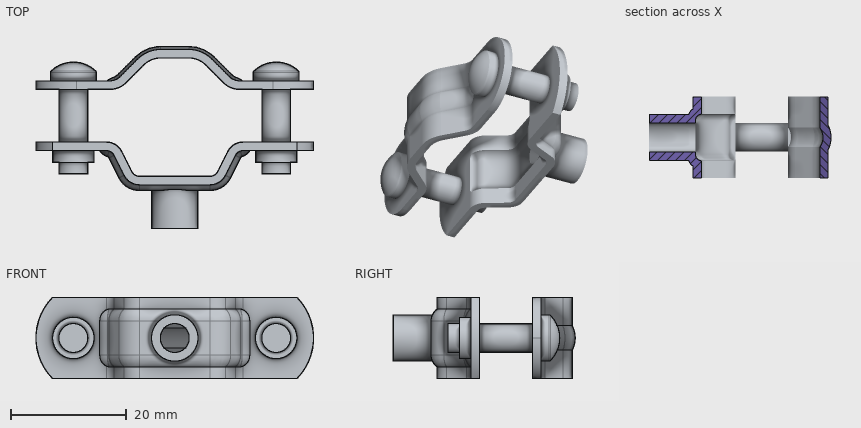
import cadquery as cq
import math

length = 48.0
width = 14.0
thickness = 1.5
gap = 9.05

front_flat_half = 6.1
front_drop = 5.9
front_slope = 63.4
front_crown_radius = 1.5
front_flange_radius = 3.0
front_end_radius = 10.0
front_bead_half = 3.0
front_bead_radius = 2.5
front_bead_end = 10.85

rear_flat_half = 2.45
rear_drop = 5.4
rear_slope = 45.0
rear_crown_radius = 4.1
rear_flange_radius = 4.0
rear_end_radius = width / 2
rear_bead_radius = 4.5
rear_bead_end = 9.85
rear_bead_depth = 2.5

socket_diameter = 8.0
socket_bore = 5.0
socket_end = 19.5

collar_diameter = 7.15
collar_height = 2.0
collar_foot_fillet = 0.1

bolt_x = 17.5
shank_diameter = 5.0
tip_length = 2.0
head_diameter = 7.95
head_rim = 1.6
head_height = 3.25
head_fillet = 0.4

bolt_places = (-bolt_x, bolt_x)
flange_inner = gap / 2
flange_outer = flange_inner + thickness


def bend_curves(shape, offset):
    """Both bends of the +X leg of a strap, on a face lying the given offset outside the inner face.

    Returns two functions that give the (x, height) at a turn from 0, where the bend meets the
    crown or the flange, up to the leg slope, where it meets the leg; and that slope in radians.
    Heights are measured from the inner face of the flanges.
    """
    flat_half, drop, slope_degrees, crown_radius, flange_radius = shape
    slope = math.radians(slope_degrees)
    leg_drop = drop - (crown_radius + flange_radius) * (1 - math.cos(slope))
    leg_run = leg_drop / math.tan(slope)
    flange_x = flat_half + (crown_radius + flange_radius) * math.sin(slope) + leg_run

    def crown_bend(turn):
        radius = crown_radius + offset
        return (flat_half + radius * math.sin(turn), drop - crown_radius + radius * math.cos(turn))

    def flange_bend(turn):
        radius = flange_radius - offset
        return (flange_x - radius * math.sin(turn), flange_radius - radius * math.cos(turn))

    return crown_bend, flange_bend, slope


def draw_leg(shape, offset, last_turn=0.0):
    """Draw the +X half of the bent line, from the crown centre to the given turn of the flange bend."""
    crown_bend, flange_bend, slope = bend_curves(shape, offset)
    return (
        cq.Workplane("XY")
        .moveTo(0, crown_bend(0)[1])
        .lineTo(*crown_bend(0))
        .threePointArc(crown_bend(slope / 2), crown_bend(slope))
        .lineTo(*flange_bend(slope))
        .threePointArc(flange_bend((slope + last_turn) / 2), flange_bend(last_turn))
    )


def with_mirror(half):
    """Join a +X half to its mirror image."""
    return half.union(half.mirror("YZ"))


def block_below(shape, offset):
    """Block between the middle plane of the clamp and the offset face of a strap."""
    half = (
        draw_leg(shape, offset)
        .lineTo(length / 2, offset)
        .lineTo(length / 2, -flange_inner)
        .lineTo(0, -flange_inner)
        .close()
        .extrude(width / 2, both=True)
    )
    return with_mirror(half)


def bead_run(shape, half_width, radius, depth, last_turn):
    """Ridge that follows the inner face of a strap between two equal turns of its flange bends.

    Its section has a flat top of the given half width between two arcs, whose centres lie the
    given depth below the inner face.
    """
    rise = radius - depth
    base_half = half_width + math.sqrt(radius**2 - depth**2)
    middle_turn = math.acos(depth / radius) / 2
    shoulder_rise = radius * math.cos(middle_turn) - depth
    shoulder_half = half_width + radius * math.sin(middle_turn)

    crown_height = shape[1]
    section = (
        cq.Workplane("YZ", origin=(0, crown_height, 0))
        .moveTo(0, -base_half)
        .threePointArc((shoulder_rise, -shoulder_half), (rise, -half_width))
    )
    if half_width > 0:
        section = section.lineTo(rise, half_width)
    section = section.threePointArc((shoulder_rise, shoulder_half), (0, base_half)).close()
    return with_mirror(section.sweep(draw_leg(shape, 0, last_turn)))


def bead_end_pieces(shape, half_width, radius, depth, last_turn):
    """Pieces of the rounded +X end of a ridge: a quarter turn at each side and a slab between them."""
    _, flange_bend, _ = bend_curves(shape, 0)
    along = (math.cos(last_turn), -math.sin(last_turn), 0)
    middle_turn = math.acos(depth / radius) / 2

    def rim_profile(z):
        plane = cq.Plane(origin=(*flange_bend(last_turn), z), xDir=along, normal=(0, 0, 1))
        return (
            cq.Workplane(plane)
            .lineTo(math.sqrt(radius**2 - depth**2), 0)
            .threePointArc(
                (radius * math.sin(middle_turn), radius * math.cos(middle_turn) - depth),
                (0, radius - depth),
            )
            .close()
        )

    pieces = [rim_profile(z * half_width).revolve(90, (0, 0, 0), (0, -z, 0)) for z in (-1, 1)]
    if half_width > 0:
        pieces.append(rim_profile(-half_width).extrude(2 * half_width))
    return pieces


def rounded_bead(shape, half_width, radius, depth, last_turn):
    """Ridge with rounded ends."""
    bead = bead_run(shape, half_width, radius, depth, last_turn)
    for piece in bead_end_pieces(shape, half_width, radius, depth, last_turn):
        for copy in (piece, piece.mirror("YZ")):
            bead = bead.union(copy, clean=False)
    return bead


def flange_turn(shape, x):
    """Turn of the flange bend at which its inner face reaches the given X."""
    _, flange_bend, _ = bend_curves(shape, 0)
    flange_radius = shape[4]
    return math.asin((flange_bend(0)[0] - x) / flange_radius)


def strap_blank(end_radius):
    """Flat outline of a strap, extruded through the height of the bends."""
    side_half = length / 2 - end_radius + math.sqrt(end_radius**2 - (width / 2) ** 2)
    return (
        cq.Workplane("XZ")
        .moveTo(-side_half, -width / 2)
        .lineTo(side_half, -width / 2)
        .threePointArc((length / 2, 0), (side_half, width / 2))
        .lineTo(-side_half, width / 2)
        .threePointArc((-length / 2, 0), (-side_half, -width / 2))
        .close()
        .extrude(length / 2, both=True)
    )


def make_strap(shape, bead, groove, end_radius):
    """Bent strap with a pressed bead, its flanges on the +Y side of the middle plane."""
    strap = block_below(shape, thickness).union(bead, clean=False)
    strap = strap.cut(block_below(shape, 0), clean=False).cut(groove, clean=False)
    return strap.intersect(strap_blank(end_radius), clean=False).translate((0, flange_inner, 0))


def drill_bolt_holes(strap):
    """Cut the two bolt holes through a strap and anything standing on its flanges."""
    holes = (
        cq.Workplane("XZ")
        .pushPoints([(x, 0) for x in bolt_places])
        .circle(shank_diameter / 2)
        .extrude(length / 2, both=True)
    )
    return strap.cut(holes, clean=False)


def make_front_strap():
    """Front strap, with a wide bead, a tubular socket on its crown and a collar at each bolt."""
    shape = (front_flat_half, front_drop, front_slope, front_crown_radius, front_flange_radius)
    end_turn = flange_turn(shape, front_bead_end)
    bead = rounded_bead(shape, front_bead_half, front_bead_radius, 0, end_turn)
    groove = rounded_bead(shape, front_bead_half, front_bead_radius - thickness, 0, end_turn)
    strap = make_strap(shape, bead, groove, front_end_radius).mirror("XZ")

    crown = flange_outer + front_drop
    socket = (
        cq.Workplane("XZ", origin=(0, -crown, 0)).circle(socket_diameter / 2).extrude(socket_end - crown)
    )
    bore = cq.Workplane("XZ").circle(socket_bore / 2).extrude(socket_end)
    strap = strap.union(socket, clean=False).cut(bore, clean=False)

    for x in bolt_places:
        collar = (
            cq.Workplane("XZ", origin=(x, -flange_outer, 0))
            .circle(collar_diameter / 2)
            .extrude(collar_height)
        )
        foot = cq.selectors.NearestToPointSelector((x, -flange_outer, 0))
        strap = strap.union(collar, clean=False).edges(foot).fillet(collar_foot_fillet)
    return drill_bolt_holes(strap)


def make_rear_strap():
    """Rear strap, with a narrow arched bead whose groove stops square where the flanges begin."""
    shape = (rear_flat_half, rear_drop, rear_slope, rear_crown_radius, rear_flange_radius)
    end_turn = flange_turn(shape, rear_bead_end)
    bead = rounded_bead(shape, 0, rear_bead_radius, rear_bead_depth, end_turn)
    groove = bead_run(shape, 0, rear_bead_radius - thickness, rear_bead_depth, 0)
    return drill_bolt_holes(make_strap(shape, bead, groove, rear_end_radius))


def make_bolt(x):
    """Round-headed bolt along Y: its head rests on the rear strap and its tip passes the collar."""
    tip = -flange_outer - collar_height - tip_length
    rim_top = flange_outer + head_rim
    half = (
        cq.Workplane("XY")
        .moveTo(0, tip)
        .lineTo(shank_diameter / 2, tip)
        .lineTo(shank_diameter / 2, flange_outer)
        .lineTo(head_diameter / 2, flange_outer)
        .lineTo(head_diameter / 2, rim_top)
    )
    dome_rise = head_height - head_rim
    dome_radius = ((head_diameter / 2)**2 + dome_rise**2) / (2 * dome_rise)
    turn = math.asin(head_diameter / 2 / dome_radius) / 2
    dome_centre = rim_top + dome_rise - dome_radius
    half = half.threePointArc(
        (dome_radius * math.sin(turn), dome_centre + dome_radius * math.cos(turn)),
        (0, rim_top + dome_rise),
    )
    bolt = half.close().revolve(360, (0, 0, 0), (0, 1, 0))
    rim_edge = cq.selectors.NearestToPointSelector((0, rim_top, 0))
    return bolt.edges(rim_edge).fillet(head_fillet).translate((x, 0, 0))


front_strap = make_front_strap()
rear_strap = make_rear_strap()
bolts = [make_bolt(x) for x in bolt_places]

result = cq.Compound.makeCompound(
    [front_strap.val(), rear_strap.val(), *[bolt.val() for bolt in bolts]]
)